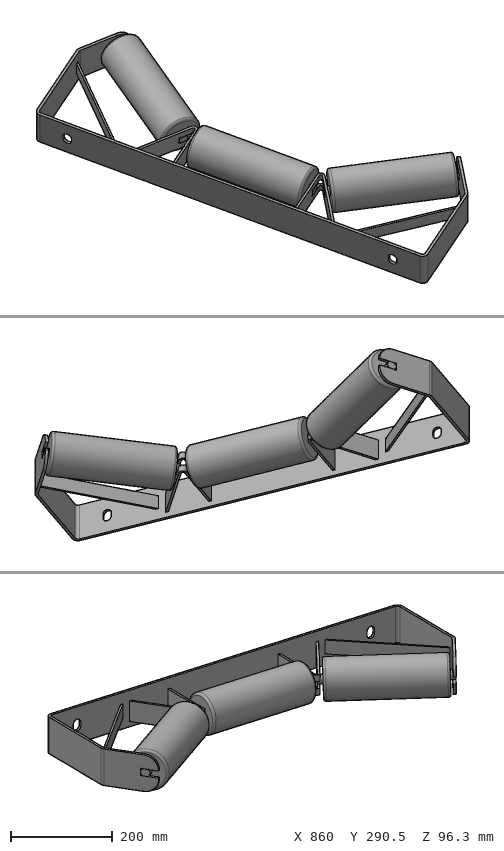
import cadquery as cq
import math

FRAME_LENGTH = 860.0
PLATE_HEIGHT = 80.0
PLATE_THICKNESS = 6.0
FRAME_BEND_RADIUS = 12.0
END_ROUND_RADIUS = 30.0
END_PAST_AXIS = 27.5

HOLE_SPACING = 715.5
HOLE_WIDTH = 18.0
HOLE_HEIGHT = 26.0

ROLLER_DIAMETER = 89.0
ROLLER_LENGTH = 251.0
ROLLER_EDGE_RADIUS = 5.0
SHAFT_DIAMETER = 20.0
SHAFT_FLAT_WIDTH = 15.5
SHAFT_LENGTH = 273.5
FLAT_CLEARANCE = 1.0
SLOT_LENGTH = 69.0

CENTER_ROLLER_Y = 101.0
CENTER_ROLLER_Z = 34.0
WING_ROLLER_X = 267.0
WING_ROLLER_Y = 184.0
WING_ROLLER_Z = 38.0
WING_ANGLE = 35.0
WING_TILT = 1.6

BRACKET_HEIGHT = 45.0
BRACKET_THICKNESS = 5.0
BRACKET_BEND_RADIUS = 9.0
BRACE_THICKNESS = 4.0
BRACE_HEIGHT = 30.0
BRACE_SIDE_Y = 180.0
BRACE_BASE_X = 246.0

HALF_LENGTH = FRAME_LENGTH / 2
HALF_SHAFT = SHAFT_LENGTH / 2
FLAT_LENGTH = PLATE_THICKNESS + FLAT_CLEARANCE
SIN_WING = math.sin(math.radians(WING_ANGLE))
COS_WING = math.cos(math.radians(WING_ANGLE))
SIN_TILT = math.sin(math.radians(WING_TILT))
COS_TILT = math.cos(math.radians(WING_TILT))

CENTER_PLANE = cq.Plane(
    origin=(0, CENTER_ROLLER_Y, CENTER_ROLLER_Z), xDir=(0, 1, 0), normal=(-1, 0, 0)
)
WING_PLANE = cq.Plane(
    origin=(-WING_ROLLER_X, WING_ROLLER_Y, WING_ROLLER_Z),
    xDir=(SIN_WING, COS_WING, 0),
    normal=(-COS_WING * COS_TILT, SIN_WING * COS_TILT, SIN_TILT),
)


def wing_point(outward, upward):
    """XY point of the left wing, measured from its roller along and across the roller."""
    x = -WING_ROLLER_X - outward * COS_WING + upward * SIN_WING
    y = WING_ROLLER_Y + outward * SIN_WING + upward * COS_WING
    return (x, y)


def wing_point_at_x(outward, x):
    return wing_point(outward, (x + WING_ROLLER_X + outward * COS_WING) / SIN_WING)


def wing_point_at_y(outward, y):
    return wing_point(outward, (y - WING_ROLLER_Y - outward * SIN_WING) / COS_WING)


def mirrored(point):
    return (-point[0], point[1])


def round_upright_edges(body, points, radius):
    for x, y in points:
        edge = cq.selectors.NearestToPointSelector((x, y, PLATE_HEIGHT / 2))
        body = body.edges("|Z").edges(edge).fillet(radius)
    return body


def shaft_slot(plane, start, end):
    """Cutter for a slot that holds a flatted shaft end and opens to the side of the trough."""
    return (
        cq.Workplane(plane).workplane(offset=start)
        .center((SLOT_LENGTH - SHAFT_DIAMETER) / 2, 0)
        .rect(SLOT_LENGTH, SHAFT_FLAT_WIDTH).extrude(end - start)
    )


def make_roller(plane):
    drum = (
        cq.Workplane(plane).workplane(offset=-ROLLER_LENGTH / 2)
        .circle(ROLLER_DIAMETER / 2).extrude(ROLLER_LENGTH)
        .edges().fillet(ROLLER_EDGE_RADIUS)
    )
    shaft = (
        cq.Workplane(plane).workplane(offset=-HALF_SHAFT)
        .circle(SHAFT_DIAMETER / 2).extrude(SHAFT_LENGTH)
    )
    for flat_start in (-HALF_SHAFT, HALF_SHAFT - FLAT_LENGTH):
        flatted = (
            cq.Workplane(plane).workplane(offset=flat_start)
            .rect(SHAFT_DIAMETER, SHAFT_DIAMETER).rect(SHAFT_DIAMETER, SHAFT_FLAT_WIDTH)
            .extrude(FLAT_LENGTH)
        )
        shaft = shaft.cut(flatted)
    return drum.union(shaft)


def make_frame():
    inner_face = HALF_SHAFT - PLATE_THICKNESS
    inner_x = -HALF_LENGTH + PLATE_THICKNESS
    outer = [
        wing_point(HALF_SHAFT, END_PAST_AXIS),
        wing_point_at_x(HALF_SHAFT, -HALF_LENGTH),
        (-HALF_LENGTH, 0),
    ]
    inner = [
        wing_point(inner_face, END_PAST_AXIS),
        wing_point_at_x(inner_face, inner_x),
        (inner_x, PLATE_THICKNESS),
    ]
    left = inner[::-1] + outer
    right = [mirrored(point) for point in left[::-1]]
    frame = cq.Workplane("XY").polyline(left + right).close().extrude(PLATE_HEIGHT)

    outer_bends = outer[1:] + [mirrored(point) for point in outer[1:]]
    inner_bends = inner[1:] + [mirrored(point) for point in inner[1:]]
    frame = round_upright_edges(frame, outer_bends, FRAME_BEND_RADIUS)
    frame = round_upright_edges(frame, inner_bends, FRAME_BEND_RADIUS - PLATE_THICKNESS)

    end_x, end_y = wing_point(HALF_SHAFT - PLATE_THICKNESS / 2, END_PAST_AXIS)
    for side in (-1, 1):
        for z in (0, PLATE_HEIGHT):
            corner = cq.selectors.NearestToPointSelector((-side * end_x, end_y, z))
            frame = frame.edges(corner).fillet(END_ROUND_RADIUS)

    slot = shaft_slot(WING_PLANE, inner_face - FLAT_CLEARANCE, HALF_SHAFT + FLAT_CLEARANCE)
    frame = frame.cut(slot).cut(slot.mirror("YZ"))

    holes = (
        cq.Workplane("XZ").center(0, PLATE_HEIGHT / 2)
        .pushPoints([(-HOLE_SPACING / 2, 0), (HOLE_SPACING / 2, 0)])
        .slot2D(HOLE_HEIGHT, HOLE_WIDTH, 90).extrude(-PLATE_THICKNESS)
    )
    return frame.cut(holes)


def make_left_bracket():
    roller_face = HALF_SHAFT - BRACKET_THICKNESS
    outer_apex = wing_point_at_x(-roller_face, -roller_face)
    inner_apex = wing_point_at_x(-HALF_SHAFT, -HALF_SHAFT)
    outline = [
        wing_point_at_y(-roller_face, PLATE_THICKNESS),
        outer_apex,
        (-roller_face, PLATE_THICKNESS),
        (-HALF_SHAFT, PLATE_THICKNESS),
        inner_apex,
        wing_point_at_y(-HALF_SHAFT, PLATE_THICKNESS),
    ]
    bottom = CENTER_ROLLER_Z - BRACKET_HEIGHT / 2
    bracket = cq.Workplane("XY").workplane(offset=bottom).polyline(outline).close().extrude(BRACKET_HEIGHT)
    bracket = round_upright_edges(bracket, [outer_apex], BRACKET_BEND_RADIUS)
    bracket = round_upright_edges(bracket, [inner_apex], BRACKET_BEND_RADIUS - BRACKET_THICKNESS)

    slot_start = roller_face - FLAT_CLEARANCE
    slot_end = roller_face + BRACKET_BEND_RADIUS
    wing_slot = shaft_slot(WING_PLANE, -slot_end, -slot_start)
    center_slot = shaft_slot(CENTER_PLANE, slot_start, slot_end)
    return bracket.cut(wing_slot).cut(center_slot)


def make_left_brace():
    side_x = -HALF_LENGTH + PLATE_THICKNESS
    run = -BRACE_BASE_X - side_x
    drop = BRACE_SIDE_Y - PLATE_THICKNESS
    slant = math.hypot(run, drop)
    outline = [
        (side_x, BRACE_SIDE_Y),
        (-BRACE_BASE_X, PLATE_THICKNESS),
        (-BRACE_BASE_X - BRACE_THICKNESS * slant / drop, PLATE_THICKNESS),
        (side_x, BRACE_SIDE_Y - BRACE_THICKNESS * slant / run),
    ]
    bottom = (PLATE_HEIGHT - BRACE_HEIGHT) / 2
    return cq.Workplane("XY").workplane(offset=bottom).polyline(outline).close().extrude(BRACE_HEIGHT)


frame = make_frame()
center_roller = make_roller(CENTER_PLANE)
bodies = [*frame.solids().vals(), *center_roller.solids().vals()]

for left_body in (make_roller(WING_PLANE), make_left_bracket(), make_left_brace()):
    bodies.extend(left_body.solids().vals())
    bodies.extend(left_body.mirror("YZ").solids().vals())

result = cq.Compound.makeCompound(bodies)